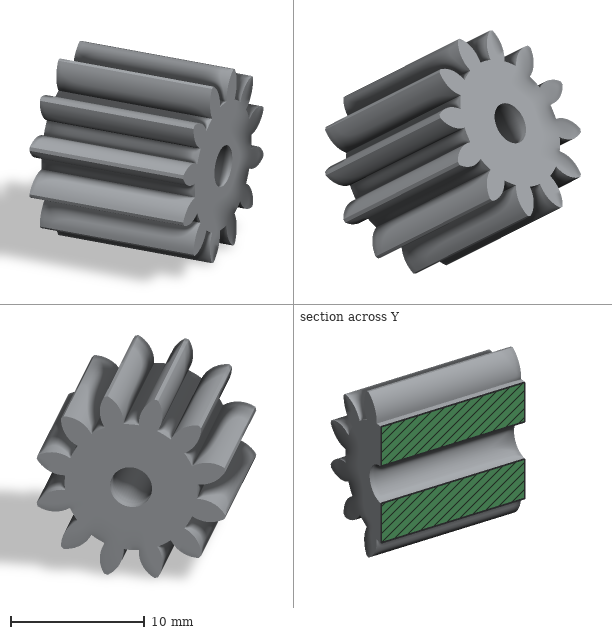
import cadquery as cq
import math

face_width = 12.7
outer_size = 14.4
tooth_count = 12
root_radius = 5.07
bore_diameter = 3.2

root_half_width = 0.73
flank_radius_from_axis = 6.34
flank_half_width = 0.785
tip_half_width = 0.15

tooth_pitch = 360.0 / tooth_count
first_tooth_angle = tooth_pitch / 2

half_pitch = math.radians(first_tooth_angle)
tip_distance = (outer_size / 2 - tip_half_width * math.sin(half_pitch)) / math.cos(half_pitch)
tip_radius = math.hypot(tip_distance, tip_half_width)


def point_at(radius, half_width):
    """Point on one flank, at a radius from the axis and an offset from the tooth centre line."""
    return math.sqrt(radius**2 - half_width**2), half_width


def mirrored(point):
    """Matching point on the opposite flank."""
    return point[0], -point[1]


def make_tooth():
    """One tooth with two arc flanks and a tip on the outer circle; its base lies inside the core."""
    root = point_at(root_radius, root_half_width)
    flank = point_at(flank_radius_from_axis, flank_half_width)
    tip = (tip_distance, tip_half_width)
    return (
        cq.Workplane("YZ")
        .moveTo(*root)
        .threePointArc(flank, tip)
        .threePointArc((tip_radius, 0), mirrored(tip))
        .threePointArc(mirrored(flank), mirrored(root))
        .close()
        .extrude(face_width / 2, both=True)
    )


pinion = cq.Workplane("YZ").circle(root_radius).extrude(face_width / 2, both=True)

tooth = make_tooth()
for index in range(tooth_count):
    angle = first_tooth_angle + index * tooth_pitch
    pinion = pinion.union(tooth.rotate((0, 0, 0), (1, 0, 0), angle))

bore = cq.Workplane("YZ").circle(bore_diameter / 2).extrude(face_width, both=True)

result = pinion.cut(bore)